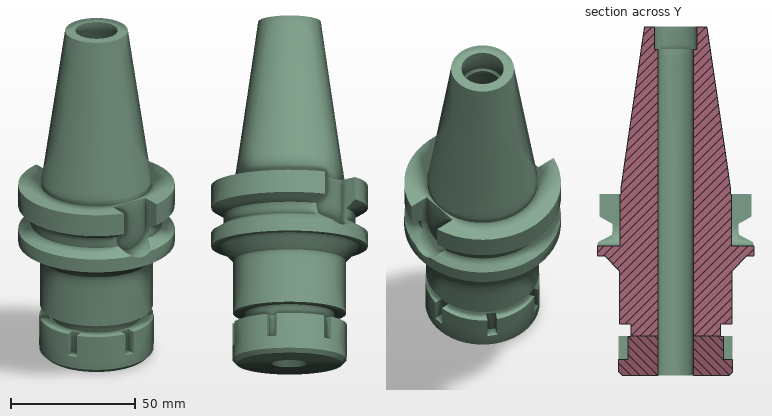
import cadquery as cq

total_height = 140.4
bore_radius = 7.0

nut_radius = 23.0
nut_height = 16.0
nut_chamfer = 1.7
nut_slot_count = 6
nut_slot_width = 4.0
nut_slot_floor_radius = 19.4
nut_slot_bottom = 6.7

neck_radius = 18.1
shank_radius = 22.7
flange_cone_radius = 28.4
flange_diameter = 63.0
flange_radius = flange_diameter / 2
groove_radius = 26.5
taper_base_radius = 22.2
taper_tip_radius = 12.6

shank_bottom = 20.6
shank_top = 42.1
flange_bottom = 48.0
groove_lower_edge = 53.6
groove_floor_bottom = 56.6
groove_floor_top = 61.0
groove_upper_edge = 63.9
flange_top = 73.0
taper_bottom = 75.0

counterbore_diameter = 17.0
counterbore_radius = counterbore_diameter / 2
counterbore_depth = 9.1

keyway_width = 16.1
keyway_floor_distance = 22.5
keyway_bottom = 52.2


def holder_blank():
    """Revolved outside of the holder: neck, shank, grooved flange and taper."""
    profile = (
        cq.Workplane("XZ")
        .moveTo(0, nut_height)
        .lineTo(neck_radius, nut_height)
        .lineTo(neck_radius, shank_bottom)
        .lineTo(shank_radius, shank_bottom)
        .lineTo(shank_radius, shank_top)
        .lineTo(flange_cone_radius, flange_bottom)
        .lineTo(flange_radius, flange_bottom)
        .lineTo(flange_radius, groove_lower_edge)
        .lineTo(groove_radius, groove_floor_bottom)
        .lineTo(groove_radius, groove_floor_top)
        .lineTo(flange_radius, groove_upper_edge)
        .lineTo(flange_radius, flange_top)
        .lineTo(taper_base_radius, flange_top)
        .lineTo(taper_base_radius, taper_bottom)
        .lineTo(taper_tip_radius, total_height)
        .lineTo(0, total_height)
        .close()
    )
    return profile.revolve(360, (0, 0, 0), (0, 1, 0))


def axial_hole(radius, bottom, top):
    return cq.Workplane("XY").workplane(offset=bottom).circle(radius).extrude(top - bottom)


def keyway_cutter():
    """Round-bottomed keyway, open upward and outward on the +X side."""
    half_width = keyway_width / 2
    arc_center = keyway_bottom + half_width
    return (
        cq.Workplane("YZ", origin=(keyway_floor_distance, 0, 0))
        .moveTo(-half_width, flange_top)
        .lineTo(-half_width, arc_center)
        .threePointArc((0, keyway_bottom), (half_width, arc_center))
        .lineTo(half_width, flange_top)
        .close()
        .extrude(flange_radius - keyway_floor_distance)
    )


def make_holder():
    body = holder_blank()
    body = body.cut(axial_hole(bore_radius, nut_height, total_height))
    body = body.cut(axial_hole(counterbore_radius, total_height - counterbore_depth, total_height))
    for angle in (0, 180):
        body = body.cut(keyway_cutter().rotate((0, 0, 0), (0, 0, 1), angle))
    return body


def nut_slot_cutter():
    """Spanner slot on the +X side, open outward and through the nut's upper face."""
    return (
        cq.Workplane("XY", origin=(nut_slot_floor_radius, 0, nut_slot_bottom))
        .box(
            nut_radius - nut_slot_floor_radius,
            nut_slot_width,
            nut_height - nut_slot_bottom,
            centered=(False, True, False),
        )
    )


def make_nut():
    body = cq.Workplane("XY").circle(nut_radius).extrude(nut_height)
    body = body.faces("<Z").edges().chamfer(nut_chamfer)
    body = body.cut(axial_hole(bore_radius, 0, nut_height))
    for index in range(nut_slot_count):
        angle = index * 360 / nut_slot_count
        body = body.cut(nut_slot_cutter().rotate((0, 0, 0), (0, 0, 1), angle))
    return body


holder = make_holder()
nut = make_nut()

result = cq.Compound.makeCompound([holder.val(), nut.val()])